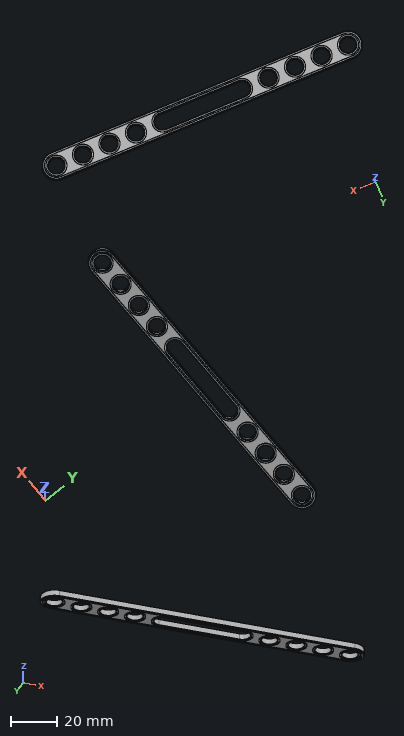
import cadquery as cq

length = 150.0
pitch = length / 12
width = pitch
thickness = 3.2

hole_diameter = 7.0
ring_diameter = 9.2
holes_per_side = 4
first_hole_x = 2.5 * pitch
slot_end_x = 1.5 * pitch

border_width = 1.0
panel_depth = 0.3

edge_bevel = 0.3


def opening_plugs(diameter):
    """Full-height plugs of one diameter at every hole and along the central slot."""
    hole_xs = [first_hole_x + index * pitch for index in range(holes_per_side)]
    hole_centres = [(side * x, 0) for side in (-1, 1) for x in hole_xs]
    holes = cq.Workplane("XY").pushPoints(hole_centres).circle(diameter / 2)
    slot = cq.Workplane("XY").slot2D(2 * slot_end_x + diameter, diameter)
    return slot.extrude(thickness / 2, both=True).union(holes.extrude(thickness / 2, both=True))


def make_strip():
    """Round-ended strip centred on Z = 0, with its openings cut and its edges bevelled."""
    strip = cq.Workplane("XY").slot2D(length, width).extrude(thickness / 2, both=True)
    strip = strip.cut(opening_plugs(hole_diameter))
    return strip.faces("|Z").chamfer(edge_bevel)


def make_panel_recess():
    """Cutter for the upper panel; it leaves the border and the rings at full height."""
    panel = cq.Workplane("XY").workplane(offset=thickness / 2 - panel_depth)
    panel = panel.slot2D(length - 2 * border_width, width - 2 * border_width).extrude(panel_depth)
    return panel.cut(opening_plugs(ring_diameter))


upper_recess = make_panel_recess()
lower_recess = upper_recess.mirror("XY")

result = make_strip().cut(upper_recess).cut(lower_recess)